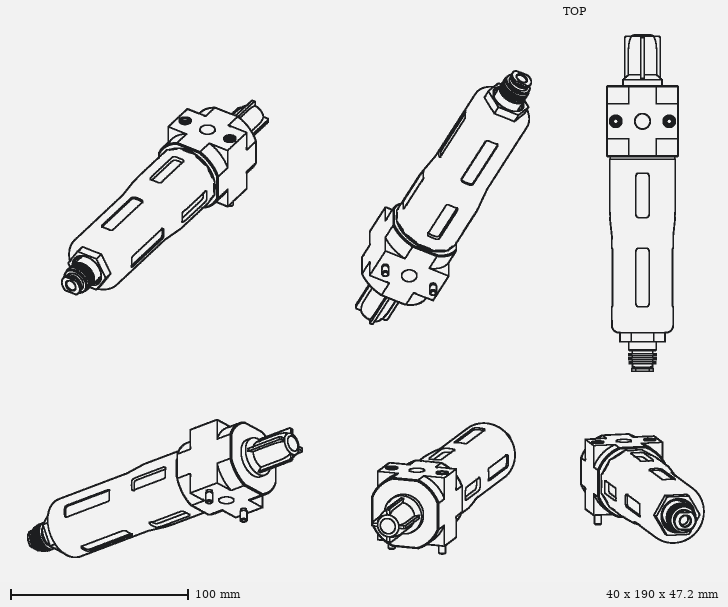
import cadquery as cq
import math


OVERALL_LENGTH = 190.0

BLOCK_SIZE = 40.0
BLOCK_HALF = BLOCK_SIZE / 2
BLOCK_ROUND_DIA = 43.0
BLOCK_END_CHAMFER = 0.5
CROSS_ARM_Y = 19.8
PORT_DIA = 8.5

SCREW_SPACING = 30.2
SCREW_X = (-SCREW_SPACING / 2, SCREW_SPACING / 2)
SCREW_HOLE_DIA = 6.0
SCREW_HOLE_CHAMFER = 0.4
SCREW_HEAD_DIA = 5.1
SCREW_HEAD_RECESS = 0.2
SCREW_HEAD_HEIGHT = 4.0
SCREW_SHANK_DIA = 3.2
SCREW_THREAD_DIA = 4.0
SCREW_SOCKET_DIA = 2.9
SCREW_SOCKET_DEPTH = 1.9
SCREW_SOCKET_CHAMFER = 0.8
SCREW_NECK_LENGTH = 1.3
SCREW_TIP_DROP = 7.2
SCREW_TIP_CHAMFER = 0.5

KNOB_COLLAR_DIA = 22.2
KNOB_DIA = 16.0
KNOB_DOME_END_DIA = 12.7
KNOB_CAP_DIA = 9.0
KNOB_COLLAR_END_Y = 23.4
KNOB_CONE_END_Y = 26.2
KNOB_DOME_START_Y = 40.7
KNOB_DOME_MID_Y = 45.2
KNOB_DOME_MID_DIA = 14.8
KNOB_DOME_END_Y = 48.0
KNOB_TIP_Y = 48.8
WING_SPAN = 20.1
WING_THICKNESS = 1.7
WING_TIP_Y = 48.0
WING_CHAMFER = 0.8

NECK_DIA = 36.5
GUARD_TOP_Y = -21.3
GUARD_DIA = 38.4
GUARD_FACETS = 12
GUARD_ACROSS_FLATS = 37.2
TAPER_START_Y = -48.6
TAPER_MID_Y = -57.0
TAPER_MID_DIA = 36.5
TAPER_END_Y = -64.8
BOWL_DIA = 34.8
BOWL_END_Y = -119.3
BOWL_FILLET = 4.2
SLOT_COUNT = 4
SLOT_WIDTH = 7.5
SLOT_CORNER_RADIUS = 1.5
SLOT_FLOOR_DIA = 32.7
GUARD_SLOT_ENDS = (-29.3, -54.3)
BOWL_SLOT_ENDS = (-71.6, -104.7)

HEX_ACROSS_FLATS = 22.0
HEX_SIDES = 6
HEX_END_Y = -124.5
DRAIN_HOLE_DIA = 18.0
DRAIN_HOLE_CHAMFER = 0.8

STEM_DIA = 15.8
STEM_END_Y = -129.4
STEM_CHAMFER = 0.5
GROOVE_DIA = 11.8
THREAD_START_Y = -131.1
RIDGE_DIAS = (STEM_DIA, STEM_DIA, 14.8)
THREAD_PITCH = 2.3
RIDGE_WIDTH = 1.1
SHOULDER_DIA = 11.4
SHOULDER_END_Y = -138.7
TIP_NECK_DIA = 9.1
TIP_DIA = 12.2
TIP_START_Y = -139.7
TIP_END_Y = KNOB_TIP_Y - OVERALL_LENGTH
TIP_ACROSS_FLATS = 9.7
DRAIN_BORE_DIA = 6.0
DRAIN_BORE_DEPTH = 5.7
DRAIN_BORE_CHAMFER = 0.4


def y_cylinder(diameter, start_y, end_y):
    """Cylinder on the long axis, from start_y to end_y in either direction."""
    low, high = sorted((start_y, end_y))
    return cq.Workplane("XZ", origin=(0, low, 0)).circle(diameter / 2).extrude(low - high)


def z_cylinder(diameter, bottom_z, top_z, x=0):
    return cq.Workplane("XY", origin=(x, 0, bottom_z)).circle(diameter / 2).extrude(top_z - bottom_z)


def revolve_on_y(profile):
    return profile.close().revolve(360, (0, 0, 0), (0, 1, 0))


def y_polygon(sides, across_flats, start_y, end_y):
    """Regular prism on the long axis, with flat faces toward +Z and -Z."""
    low, high = sorted((start_y, end_y))
    across_corners = across_flats / math.cos(math.pi / sides)
    turn = 180 / sides if sides % 4 == 0 else 0
    prism = cq.Workplane("XZ", origin=(0, low, 0)).polygon(sides, across_corners).extrude(low - high)
    return prism.rotate((0, 0, 0), (0, 1, 0), turn)


def make_block():
    square = cq.Workplane("XY").box(BLOCK_SIZE, BLOCK_SIZE, BLOCK_SIZE)
    round_ends = y_cylinder(BLOCK_ROUND_DIA, -BLOCK_HALF, BLOCK_HALF)
    middle = cq.Workplane("XY").box(BLOCK_SIZE, CROSS_ARM_Y, BLOCK_SIZE)
    rounded = square.intersect(round_ends).faces("<Y or >Y").edges().chamfer(BLOCK_END_CHAMFER)
    return rounded.union(middle)


def make_knob():
    body = revolve_on_y(
        cq.Workplane("XY")
        .moveTo(0, BLOCK_HALF)
        .lineTo(KNOB_COLLAR_DIA / 2, BLOCK_HALF)
        .lineTo(KNOB_COLLAR_DIA / 2, KNOB_COLLAR_END_Y)
        .lineTo(KNOB_DIA / 2, KNOB_CONE_END_Y)
        .lineTo(KNOB_DIA / 2, KNOB_DOME_START_Y)
        .threePointArc((KNOB_DOME_MID_DIA / 2, KNOB_DOME_MID_Y), (KNOB_DOME_END_DIA / 2, KNOB_DOME_END_Y))
        .lineTo(KNOB_CAP_DIA / 2, KNOB_TIP_Y)
        .lineTo(0, KNOB_TIP_Y)
    )
    wing_length = WING_TIP_Y - BLOCK_HALF
    wing = (
        cq.Workplane("XY")
        .box(WING_SPAN, wing_length, WING_THICKNESS)
        .edges(">Y and |Z")
        .chamfer(WING_CHAMFER)
        .translate((0, BLOCK_HALF + wing_length / 2, 0))
    )
    return body.union(wing).union(wing.rotate((0, 0, 0), (0, 1, 0), 90))


def make_guard():
    """Faceted guard that tapers down to the bowl diameter, with the neck that joins it to the block."""
    turned = revolve_on_y(
        cq.Workplane("XY")
        .moveTo(0, GUARD_TOP_Y)
        .lineTo(GUARD_DIA / 2, GUARD_TOP_Y)
        .lineTo(GUARD_DIA / 2, TAPER_START_Y)
        .threePointArc((TAPER_MID_DIA / 2, TAPER_MID_Y), (BOWL_DIA / 2, TAPER_END_Y))
        .lineTo(0, TAPER_END_Y)
    )
    facets = y_polygon(GUARD_FACETS, GUARD_ACROSS_FLATS, GUARD_TOP_Y, TAPER_END_Y)
    neck = y_cylinder(NECK_DIA, -BLOCK_HALF, GUARD_TOP_Y)
    return turned.intersect(facets).union(neck)


def make_bowl():
    bowl = y_cylinder(BOWL_DIA, TAPER_END_Y, BOWL_END_Y).faces("<Y").edges().fillet(BOWL_FILLET)
    boss = y_polygon(HEX_SIDES, HEX_ACROSS_FLATS, BOWL_END_Y, HEX_END_Y)
    drain_hole = y_cylinder(DRAIN_HOLE_DIA, BOWL_END_Y, HEX_END_Y)
    boss = boss.cut(drain_hole).faces("<Y").edges("%CIRCLE").chamfer(DRAIN_HOLE_CHAMFER)
    return bowl.union(boss)


def make_slots(ends):
    """Cutter for the row of slots around the axis, down to the round slot floor."""
    length = abs(ends[1] - ends[0])
    slot = (
        cq.Workplane("XY")
        .box(SLOT_WIDTH, length, GUARD_DIA, centered=(True, True, False))
        .edges("|Z")
        .fillet(SLOT_CORNER_RADIUS)
        .translate((0, sum(ends) / 2, 0))
        .cut(y_cylinder(SLOT_FLOOR_DIA, *ends))
    )
    slots = slot
    for i in range(1, SLOT_COUNT):
        slots = slots.union(slot.rotate((0, 0, 0), (0, 1, 0), i * 360 / SLOT_COUNT))
    return slots


def make_housing():
    housing = make_block().union(make_knob()).union(make_guard()).union(make_bowl())
    for ends in (GUARD_SLOT_ENDS, BOWL_SLOT_ENDS):
        housing = housing.cut(make_slots(ends))
    housing = housing.cut(z_cylinder(PORT_DIA, -BLOCK_HALF, BLOCK_HALF))
    head_seat_z = BLOCK_HALF - SCREW_HEAD_RECESS - SCREW_HEAD_HEIGHT
    screw_hole_mouth = cq.Workplane(
        cq.Solid.makeCone(
            SCREW_HOLE_DIA / 2,
            SCREW_HOLE_DIA / 2 + SCREW_HOLE_CHAMFER,
            SCREW_HOLE_CHAMFER,
            pnt=cq.Vector(0, 0, BLOCK_HALF - SCREW_HOLE_CHAMFER),
        )
    )
    for x in SCREW_X:
        mouth = screw_hole_mouth.translate((x, 0, 0))
        housing = housing.cut(z_cylinder(SCREW_HOLE_DIA, head_seat_z, BLOCK_HALF, x)).cut(mouth)
        housing = housing.cut(z_cylinder(SCREW_SHANK_DIA, -BLOCK_HALF, head_seat_z, x))
    return housing


def make_screw(x):
    head_top_z = BLOCK_HALF - SCREW_HEAD_RECESS
    head_seat_z = head_top_z - SCREW_HEAD_HEIGHT
    thread_top_z = -BLOCK_HALF - SCREW_NECK_LENGTH
    tip_z = -BLOCK_HALF - SCREW_TIP_DROP
    head = z_cylinder(SCREW_HEAD_DIA, head_seat_z, head_top_z, x)
    head = head.cut(z_cylinder(SCREW_SOCKET_DIA, head_top_z - SCREW_SOCKET_DEPTH, head_top_z, x))
    head = head.faces(">Z").edges(cq.selectors.RadiusNthSelector(0)).chamfer(SCREW_SOCKET_CHAMFER)
    shank = z_cylinder(SCREW_SHANK_DIA, thread_top_z, head_seat_z, x)
    thread = z_cylinder(SCREW_THREAD_DIA, tip_z, thread_top_z, x).faces("<Z").chamfer(SCREW_TIP_CHAMFER)
    return head.union(shank).union(thread)


def make_drain():
    drain = y_cylinder(STEM_DIA, BOWL_END_Y, STEM_END_Y).faces("<Y").chamfer(STEM_CHAMFER)
    thread_end_y = THREAD_START_Y - (len(RIDGE_DIAS) - 1) * THREAD_PITCH - RIDGE_WIDTH
    drain = drain.union(y_cylinder(GROOVE_DIA, STEM_END_Y, thread_end_y))
    for i, ridge_dia in enumerate(RIDGE_DIAS):
        ridge_y = THREAD_START_Y - i * THREAD_PITCH
        drain = drain.union(y_cylinder(ridge_dia, ridge_y, ridge_y - RIDGE_WIDTH))
    drain = drain.union(y_cylinder(SHOULDER_DIA, thread_end_y, SHOULDER_END_Y))
    drain = drain.union(y_cylinder(TIP_NECK_DIA, SHOULDER_END_Y, TIP_START_Y))
    tip_flats = cq.Workplane("XY").box(TIP_DIA, -2 * TIP_END_Y, TIP_ACROSS_FLATS)
    drain = drain.union(y_cylinder(TIP_DIA, TIP_START_Y, TIP_END_Y).intersect(tip_flats))
    drain = drain.cut(y_cylinder(DRAIN_BORE_DIA, TIP_END_Y, TIP_END_Y + DRAIN_BORE_DEPTH))
    bore_rim = drain.faces("<Y").edges(cq.selectors.RadiusNthSelector(0))
    return bore_rim.chamfer(DRAIN_BORE_CHAMFER)


housing = make_housing()
drain = make_drain()
screws = [make_screw(x) for x in SCREW_X]

result = cq.Compound.makeCompound([housing.val(), drain.val(), *[screw.val() for screw in screws]])